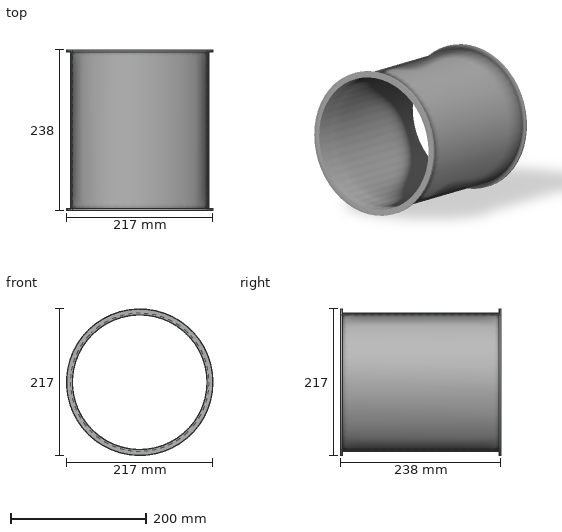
import cadquery as cq

length = 238.0
bore_diameter = 199.0
tube_diameter = 205.0
flange_diameter = 217.0
flange_thickness = 3.0


def cylinder_along_y(diameter, start_y, end_y):
    """Solid cylinder on the Y axis between two Y positions."""
    base = cq.Workplane("XZ", origin=(0, start_y, 0))
    return base.circle(diameter / 2).extrude(start_y - end_y)


half_length = length / 2
tube = cylinder_along_y(tube_diameter, -half_length, half_length)
front_flange = cylinder_along_y(flange_diameter, -half_length, -half_length + flange_thickness)
back_flange = cylinder_along_y(flange_diameter, half_length - flange_thickness, half_length)
bore = cylinder_along_y(bore_diameter, -half_length, half_length)

result = tube.union(front_flange).union(back_flange).cut(bore)